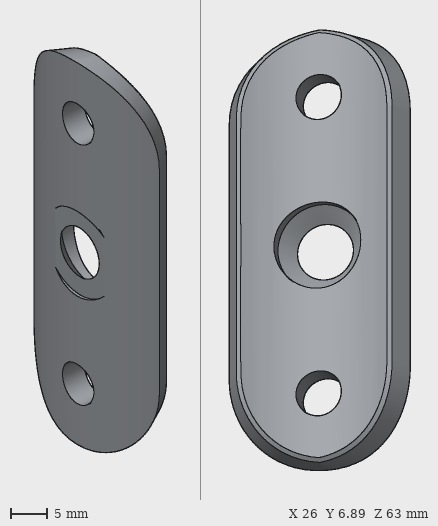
import cadquery as cq
import math

length = 63.0
width = 26.0
outer_radius = 25.0
thickness = 4.05
back_chamfer = 0.5
recess_diameter = 14.0
recess_depth = 0.5
center_hole_diameter = 8.0
counterbore_diameter = 12.5
end_hole_diameter = 6.5
end_hole_offset = 21.5

half_length = length / 2
corner_radius = width / 2
inner_radius = outer_radius - thickness
side_angle = math.asin(width / 2 / outer_radius)
cone_depth = (counterbore_diameter - center_hole_diameter) / 2
reach = 2 * outer_radius


def arc_point(radius, angle):
    """Point on a circle about the bend axis, with the angle measured from the -Y direction."""
    return (radius * math.sin(angle), outer_radius - radius * math.cos(angle))


def half_shell():
    """The +X half of the bent plate, from the middle plane to the radial side wall."""
    return (
        cq.Workplane("XY")
        .workplane(offset=-half_length)
        .moveTo(*arc_point(outer_radius, 0))
        .threePointArc(arc_point(outer_radius, side_angle / 2), arc_point(outer_radius, side_angle))
        .lineTo(*arc_point(inner_radius, side_angle))
        .threePointArc(arc_point(inner_radius, side_angle / 2), arc_point(inner_radius, 0))
        .close()
        .extrude(length)
    )


def corner_envelope():
    """A block with two rounded corners whose axes run parallel to the radial side wall."""
    across = cq.Vector(math.cos(side_angle), math.sin(side_angle), 0)
    outward = cq.Vector(math.sin(side_angle), -math.cos(side_angle), 0)
    side_plane = cq.Plane(origin=(0, outer_radius, 0), xDir=across, normal=outward)
    return (
        cq.Workplane(side_plane)
        .center(-width / 2, 0)
        .rect(width, length)
        .extrude(reach)
        .edges(cq.selectors.ParallelDirSelector(outward))
        .edges(cq.selectors.DirectionMinMaxSelector(across, True))
        .fillet(corner_radius)
    )


def end_hole(z):
    """The round cutter along Y for one end hole."""
    return cq.Workplane("XZ", origin=(0, reach, z)).circle(end_hole_diameter / 2).extrude(2 * reach)


def central_hole():
    """The stepped cutter for the central hole, revolved about the Y axis."""
    hole_radius = center_hole_diameter / 2
    counterbore_radius = counterbore_diameter / 2
    cone_end = recess_depth + cone_depth
    return (
        cq.Workplane("XY")
        .polyline([
            (0, 0),
            (hole_radius, 0),
            (hole_radius, recess_depth),
            (counterbore_radius, cone_end),
            (counterbore_radius, reach),
            (0, reach),
        ])
        .close()
        .revolve(360, (0, 0, 0), (0, 1, 0))
    )


half_plate = half_shell().intersect(corner_envelope())
plate = half_plate.union(half_plate.mirror("YZ"))

inner_point = (0, thickness, 0)
plate = plate.faces(cq.selectors.NearestToPointSelector(inner_point)).edges().chamfer(back_chamfer)

recess = cq.Workplane("XZ", origin=(0, recess_depth, 0)).circle(recess_diameter / 2).extrude(reach)
plate = plate.cut(recess)

plate = plate.cut(central_hole())

for z in (-end_hole_offset, end_hole_offset):
    plate = plate.cut(end_hole(z))

result = plate